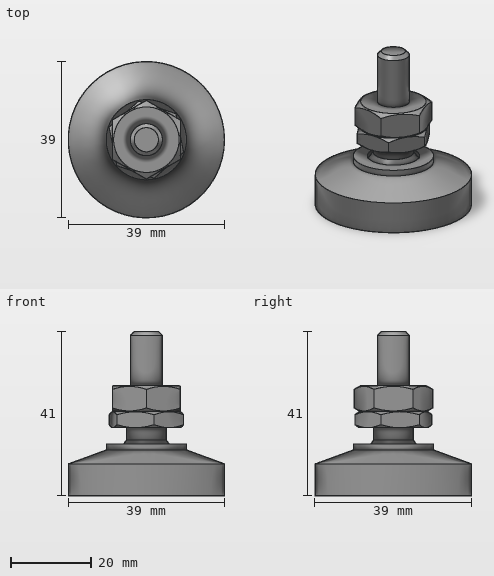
import cadquery as cq
import math

rim_top = 8.0
cone_top = 11.5
base_top = 13.0
flare_top = 13.9
collar_bottom = 17.02
collar_top = 21.0
nut_top = 27.52
stud_top = 41.0

base_diameter = 39.0
flange_diameter = 20.0
recess_diameter = 12.95

neck_diameter = 10.0
flare_angle = 35.0
stud_diameter = 8.0
stud_chamfer = 1.0

flare_height = (recess_diameter - neck_diameter) / 2 / math.tan(math.radians(flare_angle))
recess_floor = flare_top - flare_height

across_flats = 17.0
across_corners = across_flats / math.cos(math.radians(30))
corner_chamfer_angle = 30.0
collar_turn = 11.3
collar_face_diameter = across_flats
nut_turn = 0.0
nut_face_diameter = 16.33
blank_clearance = 0.4


def cylinder(diameter, bottom, top):
    """Upright cylinder on the Z axis."""
    return cq.Workplane("XY").workplane(offset=bottom).circle(diameter / 2).extrude(top - bottom)


def flared_foot():
    """Cone at the lower end of the neck, standing on the recess floor."""
    return (
        cq.Workplane("XZ")
        .moveTo(0, recess_floor)
        .lineTo(recess_diameter / 2, recess_floor)
        .lineTo(neck_diameter / 2, flare_top)
        .lineTo(0, flare_top)
        .close()
        .revolve(360, (0, 0, 0), (0, 1, 0))
    )


def chamfered_hexagon(bottom, top, face_diameter, turn):
    """Hexagonal prism whose corners are turned down conically at both ends.

    At zero turn two corners lie on the Y axis.
    """
    prism = (
        cq.Workplane("XY")
        .workplane(offset=bottom)
        .polygon(6, across_corners)
        .extrude(top - bottom)
        .rotate((0, 0, 0), (0, 0, 1), 90 + turn)
    )
    face_radius = face_diameter / 2
    blank_radius = across_corners / 2 + blank_clearance
    drop = (blank_radius - face_radius) * math.tan(math.radians(corner_chamfer_angle))
    blank = (
        cq.Workplane("XZ")
        .moveTo(0, bottom)
        .lineTo(face_radius, bottom)
        .lineTo(blank_radius, bottom + drop)
        .lineTo(blank_radius, top - drop)
        .lineTo(face_radius, top)
        .lineTo(0, top)
        .close()
        .revolve(360, (0, 0, 0), (0, 1, 0))
    )
    return prism.intersect(blank)


def make_base():
    """Conical base with a raised flange and a round recess."""
    body = (
        cq.Workplane("XZ")
        .lineTo(base_diameter / 2, 0)
        .lineTo(base_diameter / 2, rim_top)
        .lineTo(flange_diameter / 2, cone_top)
        .lineTo(flange_diameter / 2, base_top)
        .lineTo(0, base_top)
        .close()
        .revolve(360, (0, 0, 0), (0, 1, 0))
    )
    return body.cut(cylinder(recess_diameter, recess_floor, base_top))


def make_leveling_stud():
    """Flared foot, neck, hexagonal collar and stud in one piece."""
    neck = cylinder(neck_diameter, flare_top, collar_bottom)
    collar = chamfered_hexagon(collar_bottom, collar_top, collar_face_diameter, collar_turn)
    stud = cylinder(stud_diameter, collar_top, stud_top).faces(">Z").chamfer(stud_chamfer)
    return flared_foot().union(neck).union(collar).union(stud)


def make_lock_nut():
    """Hexagonal nut on the stud, seated on the collar."""
    nut = chamfered_hexagon(collar_top, nut_top, nut_face_diameter, nut_turn)
    return nut.cut(cylinder(stud_diameter, collar_top, nut_top))


base = make_base()
leveling_stud = make_leveling_stud()
lock_nut = make_lock_nut()

result = cq.Compound.makeCompound([base.val(), leveling_stud.val(), lock_nut.val()])